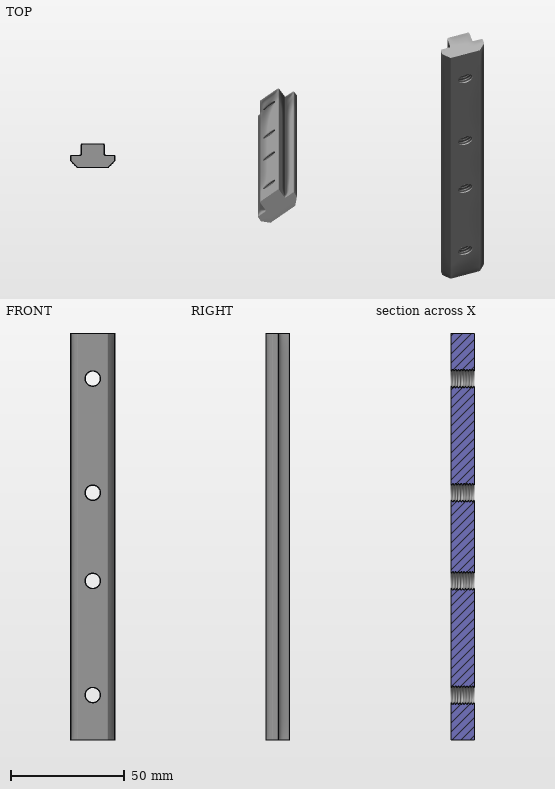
import cadquery as cq
import math

length = 180.0
base_width = 19.5
total_depth = 10.5

stem_width = 10.2
stem_depth = 5.0
base_chamfer = 3.0
edge_radius = 0.5

inner_hole_offset = 19.5
outer_hole_offset = 70.0
thread_major_diameter = 8.0
thread_pitch = 1.25

flank_height = thread_pitch * math.sqrt(3) / 2
thread_depth = flank_height * 5 / 8
thread_minor_diameter = thread_major_diameter - 2 * thread_depth
crest_flat = thread_pitch / 4
root_flat = thread_pitch / 8


def make_bar():
    """T-shaped bar, centred on X and Z, with its base face at Y = 0 and all long edges rounded."""
    half_base = base_width / 2
    half_stem = stem_width / 2
    base_depth = total_depth - stem_depth
    half_profile = [
        (half_base - base_chamfer, 0),
        (half_base, base_chamfer),
        (half_base, base_depth),
        (half_stem, base_depth),
        (half_stem, total_depth),
    ]
    mirrored_half = [(-x, y) for x, y in reversed(half_profile)]
    bar = (
        cq.Workplane("XY")
        .workplane(offset=-length / 2)
        .polyline(half_profile + mirrored_half)
        .close()
        .extrude(length)
    )
    return bar.edges("|Z").fillet(edge_radius)


def make_thread_cutter():
    """Solid that cuts one hole along Y, its thread simplified to separate ring grooves."""
    minor_radius = thread_minor_diameter / 2
    major_radius = thread_major_diameter / 2
    ring_count = math.floor(total_depth / thread_pitch)
    first_ring_middle = (total_depth - (ring_count - 1) * thread_pitch) / 2
    half_mouth = (thread_pitch - crest_flat) / 2
    half_root = root_flat / 2

    outline = cq.Workplane("XY").lineTo(minor_radius, 0)
    for ring in range(ring_count):
        middle = first_ring_middle + ring * thread_pitch
        outline = outline.lineTo(minor_radius, middle - half_mouth)
        outline = outline.lineTo(major_radius, middle - half_root)
        outline = outline.lineTo(major_radius, middle + half_root)
        outline = outline.lineTo(minor_radius, middle + half_mouth)
    outline = outline.lineTo(minor_radius, total_depth).lineTo(0, total_depth).close()
    return outline.revolve(360, (0, 0, 0), (0, 1, 0))


def cut_threaded_holes(bar):
    """Four threaded holes through the centre line of the bar."""
    cutter = make_thread_cutter()
    for offset in (inner_hole_offset, outer_hole_offset):
        for z in (-offset, offset):
            bar = bar.cut(cutter.translate((0, 0, z)))
    return bar


result = cut_threaded_holes(make_bar())